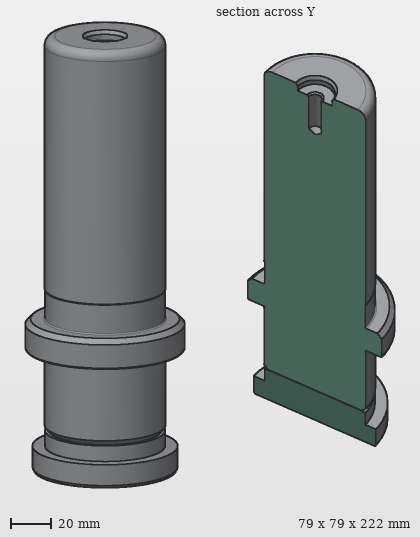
import cadquery as cq
import math

TOTAL_HEIGHT = 222
CAP_FLANGE_HEIGHT = 12.0
CAP_HEIGHT = 20
COLLAR_BOTTOM = 61.7
COLLAR_TOP = 77.0
GUIDE_BOTTOM = 92.5

PILLAR_RADIUS = 30.0
RELIEF_STEP = 0.2
RELIEF_RADIUS = PILLAR_RADIUS - RELIEF_STEP
RELIEF_TAPER_HEIGHT = 0.5
UNDERCUT_HEIGHT = 0.5
COLLAR_RADIUS = 39.5
COLLAR_TOP_CHAMFER = 2.7
COLLAR_BOTTOM_CHAMFER = 0.7
COLLAR_FILLET = 0.7
LEAD_IN_WIDTH = 2.2
LEAD_IN_HEIGHT = 2.7
TOP_FILLET = 4.9

RECESS_RADIUS = 10.0
RECESS_MOUTH_RADIUS = 11
RECESS_CHAMFER_DEPTH = 2.0
RECESS_DEPTH = 4.9
HOLE_RADIUS = 3.5
HOLE_MOUTH_RADIUS = 4.5
HOLE_CHAMFER_DEPTH = HOLE_MOUTH_RADIUS - HOLE_RADIUS
HOLE_DEPTH = 22.2
DRILL_POINT_ANGLE = 120
DRILL_POINT_DEPTH = HOLE_RADIUS / math.tan(math.radians(DRILL_POINT_ANGLE / 2))

CAP_BOSS_RADIUS = 29.7
CAP_FLANGE_RADIUS = 36.0
CAP_CHAMFER_WIDTH = 0.7
CAP_CHAMFER_HEIGHT = 1.3


def revolve_about_z(profile):
    """Close a radius-height profile and turn it about the Z axis."""
    return profile.close().revolve(360, (0, 0, 0), (0, 1, 0))


def make_pillar_blank():
    """Stepped pillar with its collar, before the centre hole is cut."""
    fillet_shift = COLLAR_FILLET * (1 - math.sqrt(0.5))
    profile = (
        cq.Workplane("XZ")
        .moveTo(0, CAP_HEIGHT)
        .lineTo(PILLAR_RADIUS - LEAD_IN_WIDTH, CAP_HEIGHT)
        .lineTo(PILLAR_RADIUS, CAP_HEIGHT + LEAD_IN_HEIGHT)
        .lineTo(PILLAR_RADIUS, COLLAR_BOTTOM - UNDERCUT_HEIGHT - RELIEF_TAPER_HEIGHT)
        .lineTo(RELIEF_RADIUS, COLLAR_BOTTOM - UNDERCUT_HEIGHT)
        .lineTo(RELIEF_RADIUS, COLLAR_BOTTOM)
        .lineTo(COLLAR_RADIUS - COLLAR_BOTTOM_CHAMFER, COLLAR_BOTTOM)
        .lineTo(COLLAR_RADIUS, COLLAR_BOTTOM + COLLAR_BOTTOM_CHAMFER)
        .lineTo(COLLAR_RADIUS, COLLAR_TOP - COLLAR_TOP_CHAMFER)
        .lineTo(COLLAR_RADIUS - COLLAR_TOP_CHAMFER, COLLAR_TOP)
        .lineTo(RELIEF_RADIUS + COLLAR_FILLET, COLLAR_TOP)
        .threePointArc(
            (RELIEF_RADIUS + fillet_shift, COLLAR_TOP + fillet_shift),
            (RELIEF_RADIUS, COLLAR_TOP + COLLAR_FILLET),
        )
        .lineTo(RELIEF_RADIUS, GUIDE_BOTTOM - RELIEF_TAPER_HEIGHT)
        .lineTo(PILLAR_RADIUS, GUIDE_BOTTOM)
        .lineTo(PILLAR_RADIUS, TOTAL_HEIGHT)
        .lineTo(0, TOTAL_HEIGHT)
    )
    return revolve_about_z(profile).faces(">Z").edges().fillet(TOP_FILLET)


def make_centre_hole():
    """Cutter for the chamfered recess and the blind hole in its floor."""
    recess_floor = TOTAL_HEIGHT - RECESS_DEPTH
    hole_end = recess_floor - HOLE_DEPTH
    profile = (
        cq.Workplane("XZ")
        .moveTo(0, TOTAL_HEIGHT)
        .lineTo(RECESS_MOUTH_RADIUS, TOTAL_HEIGHT)
        .lineTo(RECESS_RADIUS, TOTAL_HEIGHT - RECESS_CHAMFER_DEPTH)
        .lineTo(RECESS_RADIUS, recess_floor)
        .lineTo(HOLE_MOUTH_RADIUS, recess_floor)
        .lineTo(HOLE_RADIUS, recess_floor - HOLE_CHAMFER_DEPTH)
        .lineTo(HOLE_RADIUS, hole_end)
        .lineTo(0, hole_end - DRILL_POINT_DEPTH)
    )
    return revolve_about_z(profile)


def make_end_cap():
    """Flanged cap whose boss sits against the pillar's lower end."""
    profile = (
        cq.Workplane("XZ")
        .lineTo(CAP_FLANGE_RADIUS - CAP_CHAMFER_WIDTH, 0)
        .lineTo(CAP_FLANGE_RADIUS, CAP_CHAMFER_HEIGHT)
        .lineTo(CAP_FLANGE_RADIUS, CAP_FLANGE_HEIGHT)
        .lineTo(CAP_BOSS_RADIUS, CAP_FLANGE_HEIGHT)
        .lineTo(CAP_BOSS_RADIUS, CAP_HEIGHT)
        .lineTo(0, CAP_HEIGHT)
    )
    return revolve_about_z(profile)


pillar = make_pillar_blank().cut(make_centre_hole())
end_cap = make_end_cap()

result = cq.Compound.makeCompound([pillar.val(), end_cap.val()])